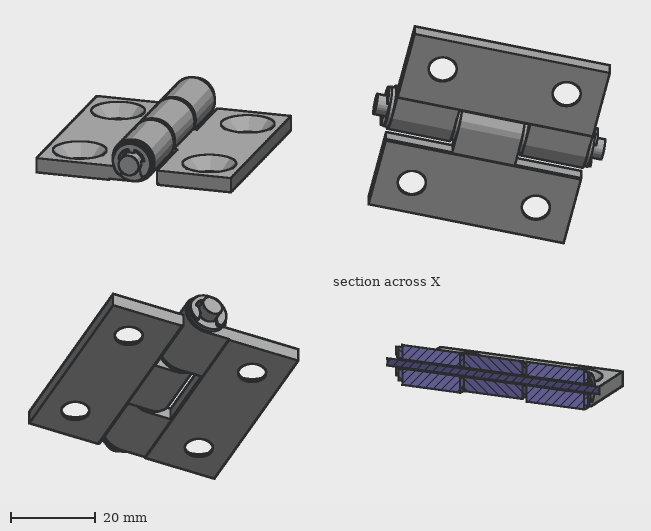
import cadquery as cq
import math


hinge_width = 48.0
leaf_length = 47.2
leaf_thickness = 3.6
knuckle_radius = 5.2
leaf_drop = 5.5
relief_half_width = 6.05
notch_reach = 5.8
middle_knuckle_length = 15.2
washer_thickness = 1.0

screw_spacing_x = 32.0
screw_spacing_y = 30.0
screw_hole_diameter = 6.6
countersink_diameter = 12.7
countersink_angle = 90.0

pin_length = 55.0
pin_diameter = 4.9
leaf_bore_diameter = 5.0
washer_bore_diameter = 5.2
washer_diameter = 9.5
clip_thickness = 0.65
clip_radius = 4.6
ear_radius = 0.7
ear_drop = 2.55
lip_half_width = 2.05
pocket_radius = 3.3
pocket_start_angle = 11.0
pocket_end_angle = 77.0
pocket_corner_radius = 0.2

half_leaf = leaf_length / 2
half_middle = middle_knuckle_length / 2
middle_notch_length = middle_knuckle_length + 2 * washer_thickness
half_notch = middle_notch_length / 2
end_knuckle_length = half_leaf - half_notch
end_notch_length = half_leaf - half_middle
clip_start = half_leaf + washer_thickness


def cylinder_y(diameter, start, length):
    """Cylinder on the pin axis, from Y = start towards +Y."""
    return cq.Workplane(cq.Solid.makeCylinder(
        diameter / 2, length, cq.Vector(0, start, 0), cq.Vector(0, 1, 0)))


def box_between(x_start, x_end, y_start, y_length, z_bottom, z_top):
    return cq.Workplane("XY").box(
        x_end - x_start, y_length, z_top - z_bottom, centered=False,
    ).translate((x_start, y_start, z_bottom))


def make_leaf(side, knuckles, notches):
    """Leaf on one side (+1 or -1); knuckles and notches are (start, length) pairs along Y."""
    outer_x = side * hinge_width / 2
    plate_top = leaf_thickness - leaf_drop
    leaf = box_between(min(0, outer_x), max(0, outer_x), -half_leaf, leaf_length, -leaf_drop, plate_top)
    leaf = leaf.cut(box_between(
        -relief_half_width, relief_half_width, -half_leaf, leaf_length, -leaf_drop, -knuckle_radius))
    for start, length in notches:
        leaf = leaf.cut(box_between(
            -notch_reach, notch_reach, start, length, -leaf_drop, plate_top))
    for start, length in knuckles:
        leaf = leaf.union(cylinder_y(2 * knuckle_radius, start, length))
    leaf = leaf.cut(cylinder_y(leaf_bore_diameter, -half_leaf, leaf_length))

    screw_places = [(side * screw_spacing_x / 2, y_side * screw_spacing_y / 2) for y_side in (-1, 1)]
    return (
        leaf.copyWorkplane(cq.Workplane("XY", origin=(0, 0, plate_top)))
        .pushPoints(screw_places)
        .cskHole(screw_hole_diameter, countersink_diameter, countersink_angle)
    )


def make_pin():
    return cylinder_y(pin_diameter, -pin_length / 2, pin_length)


def make_washer(start):
    return cylinder_y(washer_diameter, start, washer_thickness).cut(
        cylinder_y(washer_bore_diameter, start, washer_thickness))


def polar(radius, angle):
    return radius * math.cos(math.radians(angle)), radius * math.sin(math.radians(angle))


def make_clip_pocket(start, mirrored):
    """Cutter for one clearance pocket, reaching in to the seat of the clip."""
    seat_radius = pin_diameter / 2
    middle_angle = (pocket_start_angle + pocket_end_angle) / 2
    pocket = (
        cq.Workplane("XZ", origin=(0, start, 0))
        .moveTo(*polar(seat_radius, pocket_start_angle))
        .lineTo(*polar(pocket_radius, pocket_start_angle))
        .threePointArc(polar(pocket_radius, middle_angle), polar(pocket_radius, pocket_end_angle))
        .lineTo(*polar(seat_radius, pocket_end_angle))
        .threePointArc(polar(seat_radius, middle_angle), polar(seat_radius, pocket_start_angle))
        .close()
        .extrude(-clip_thickness)
    )
    outer_corners = pocket.edges("|Y").filter(
        lambda edge: math.hypot(edge.Center().x, edge.Center().z) > (seat_radius + pocket_radius) / 2)
    pocket = outer_corners.fillet(pocket_corner_radius)
    return pocket.mirror("YZ") if mirrored else pocket


def make_clip(start):
    """E-shaped retaining clip with its mouth facing -Z."""
    seat_radius = pin_diameter / 2
    ear_distance = clip_radius - ear_radius
    ear_x = math.sqrt(ear_distance**2 - ear_drop**2)
    mouth_x = ear_x - ear_radius
    seat_z = -math.sqrt(seat_radius**2 - lip_half_width**2)
    outer_x = ear_x * clip_radius / ear_distance
    outer_z = -ear_drop * clip_radius / ear_distance
    clip = (
        cq.Workplane("XZ", origin=(0, start, 0))
        .moveTo(lip_half_width, seat_z)
        .lineTo(mouth_x, -ear_drop)
        .threePointArc((ear_x, -ear_drop - ear_radius), (outer_x, outer_z))
        .threePointArc((0, clip_radius), (-outer_x, outer_z))
        .threePointArc((-ear_x, -ear_drop - ear_radius), (-mouth_x, -ear_drop))
        .lineTo(-lip_half_width, seat_z)
        .threePointArc((0, seat_radius), (lip_half_width, seat_z))
        .close()
        .extrude(-clip_thickness)
    )
    for mirrored in (False, True):
        clip = clip.cut(make_clip_pocket(start, mirrored))
    return clip


end_knuckles = [(-half_leaf, end_knuckle_length), (half_notch, end_knuckle_length)]
end_notches = [(-half_leaf, end_notch_length), (half_middle, end_notch_length)]
middle_knuckle = [(-half_middle, middle_knuckle_length)]
middle_notch = [(-half_notch, middle_notch_length)]

left_leaf = make_leaf(-1, end_knuckles, middle_notch)
right_leaf = make_leaf(1, middle_knuckle, end_notches)
pin = make_pin()
washers = [make_washer(start) for start in (-clip_start, -half_notch, half_middle, half_leaf)]
clips = [make_clip(start) for start in (-clip_start - clip_thickness, clip_start)]

result = cq.Compound.makeCompound([
    left_leaf.val(),
    right_leaf.val(),
    pin.val(),
    *[washer.val() for washer in washers],
    *[clip.val() for clip in clips],
])